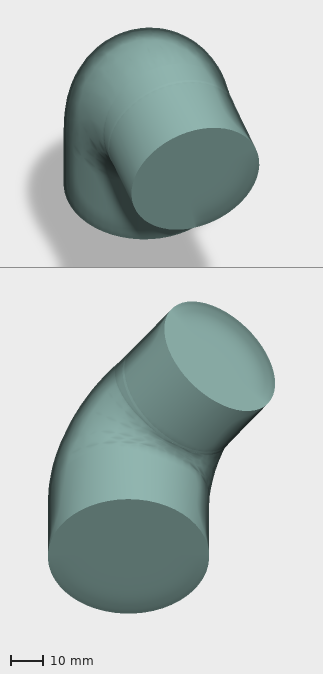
import cadquery as cq
import math

overall_length = 74.5
overall_height = 68.0
socket_diameter = 50.0
socket_height = 23.85
spigot_diameter = 41.8
spigot_length = 21.6
neck_diameter = 42.0
step_length = 0.9
outer_bend_radius = overall_height - socket_height
section_count = 9

socket_radius = socket_diameter / 2
spigot_radius = spigot_diameter / 2
neck_radius = neck_diameter / 2
neck_axis_height = overall_height - neck_radius
inner_bend_radius = outer_bend_radius - neck_diameter
spigot_end = overall_length - socket_radius
spigot_start = spigot_end - spigot_length
step_start = spigot_start - step_length

outer_centre = -socket_radius + outer_bend_radius
inner_centre = socket_radius + inner_bend_radius


def bend_point(centre, radius, angle):
    """Point on a bend wall in the XZ plane, rising from the socket mouth."""
    return cq.Vector(
        centre - radius * math.cos(angle),
        0,
        socket_height + radius * math.sin(angle),
    )


def bend_section(angle):
    """Elliptical cross-section spanning the inner and outer walls."""
    outer = bend_point(outer_centre, outer_bend_radius, angle)
    inner = bend_point(inner_centre, inner_bend_radius, angle)
    across = inner - outer
    centre = (inner + outer) * 0.5
    half_width = neck_radius + (socket_radius - neck_radius) * math.cos(angle)
    half_depth = across.Length / 2
    normal = across.cross(cq.Vector(0, 1, 0))
    plane = cq.Plane(centre, across, normal)
    return cq.Workplane(plane).ellipse(half_depth, half_width).wires().val()


def make_bend():
    """Smooth transition from the round socket to the slightly tilted neck end."""
    angle_step = math.pi / 2 / (section_count - 1)
    sections = [bend_section(i * angle_step) for i in range(section_count)]
    return cq.Workplane(cq.Solid.makeLoft(sections))


def make_neck():
    """Round neck whose start is trimmed along the tilted end of the bend."""
    neck = (
        cq.Workplane("YZ", origin=(outer_centre, 0, neck_axis_height))
        .circle(neck_radius)
        .extrude(step_start - outer_centre)
    )
    kept_side = (
        cq.Workplane("XZ")
        .moveTo(outer_centre, overall_height)
        .lineTo(step_start, overall_height)
        .lineTo(step_start, overall_height - neck_diameter)
        .lineTo(inner_centre, overall_height - neck_diameter)
        .close()
        .extrude(neck_radius, both=True)
    )
    return neck.intersect(kept_side)


def make_spigot():
    """Spigot with the short cone that steps down from the neck."""
    return (
        cq.Workplane("XZ", origin=(0, 0, neck_axis_height))
        .moveTo(step_start, 0)
        .lineTo(step_start, neck_radius)
        .lineTo(spigot_start, spigot_radius)
        .lineTo(spigot_end, spigot_radius)
        .lineTo(spigot_end, 0)
        .close()
        .revolve(360, (0, 0, 0), (1, 0, 0))
    )


socket = cq.Workplane("XY").circle(socket_radius).extrude(socket_height)
result = socket.union(make_bend()).union(make_neck()).union(make_spigot())